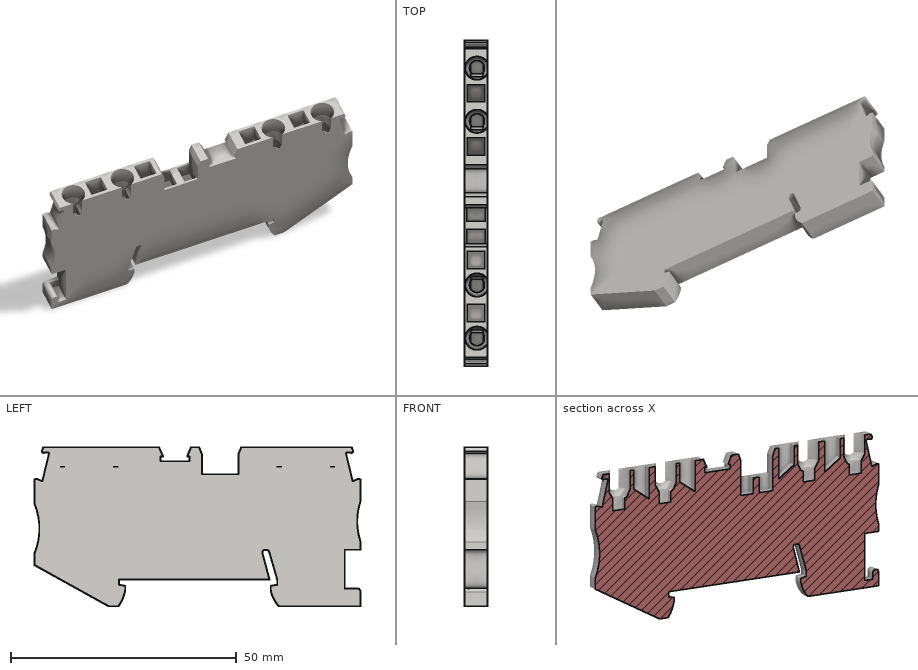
import cadquery as cq
import math

THICKNESS = 5.1
LENGTH = 72.2
HEIGHT = 35.2
HALF_LENGTH = LENGTH / 2

BACK_WAIST_TOP, BACK_WAIST_BOTTOM, BACK_WAIST_DEPTH = 22.7, 11.7, 1.1
FRONT_WAIST_TOP, FRONT_WAIST_BOTTOM, FRONT_WAIST_DEPTH = 23.25, 14.3, 0.7

NOTCH_RADIUS = 0.2
LIP_TOP_Y = 34.15
LIP_TIP = (34.5, 34.3)
LIP_BARB = (34.15, 33.85)
NOTCH_OUTER = (33.9, 34.0)
NOTCH_UPPER = (32.85, 34.0)
NOTCH_LOWER = (34.4, 27.7)
SHOULDER_PEAK = (35.6, 28.2)
SHOULDER_Z = 28.1

RAIL_SEAT_Z = 5.9
FOOT_ROOT_Y, FOOT_ROOT_Z = 17.3, 4.8
FOOT_TIP_Y, FOOT_TIP_Z, FOOT_TIP_RADIUS = 15.95, 4.55, 0.2
FOOT_CURVE_START_Z = 3.6
FOOT_CURVE_MID_Z = 1.65
FOOT_CURVE_MID_Y, FOOT_SOLE_Y = 16.5, 17.5
HOOK_TIP_Y, HOOK_ROOT_Y = -16.2, -17.6
HOOK_CURVE_MID_Y, HOOK_SOLE_Y = -16.8, -18.0
SLIT_TOP_Y, SLIT_TOP_Z = (-15.75, -14.2), 12.4
SLIT_MOUTH_Y = -15.95
SLIT_RADIUS = 0.5
SLOPE_FOOT_Y, SLOPE_TOP_Z = 19.7, 9.1

WINDOW_TOP, WINDOW_BOTTOM, WINDOW_Y = 12.5, 4.0, -32.6
LIP_RADIUS = 0.8
POCKET_WALL, POCKET_BEHIND_LIP_DEPTH = 0.95, 2.2

SLOT_START, SLOT_END, SLOT_FLOOR = -1.0, -9.0, 29.25
SLOT_CHAMFER_Y, SLOT_CHAMFER_Z = 0.65, 1.6
SLOT_POCKET_WIDTH, SLOT_POCKET_DEPTH = 4.2, 3.6
SLOT_RIB_START, SLOT_RIB_END = -4.05, -5.8

GROOVE_START, GROOVE_END, GROOVE_FLOOR = 8.15, 1.8, 32.1
GROOVE_BARB_Z = 33.15
GROOVE_START_BARB, GROOVE_END_BARB = 7.6, 2.3
GROOVE_START_TOP, GROOVE_END_TOP = 8.5, 1.45

STATIONS_PER_HALF = 2
STATION_PITCH = 11.8
TOOL_POCKET_Y = 12.55
TOOL_POCKET_SIZE = 3.8
TOOL_POCKET_DEPTH = 5.8
TOOL_POCKET_FLOOR_ANGLE = 35
FUNNEL_Y = 18.1
FUNNEL_X = 0.2
FUNNEL_RADIUS = 2.6
FUNNEL_STRAIGHT_DEPTH = 4.3
FUNNEL_ANGLE = 60
WIRE_RADIUS = 1.65
WIRE_WIDTH = 2.8
WIRE_FLOOR_DEPTH = 8.7
RAMP_BREAK_Y = 1.9
RAMP_END_Y = 1.2
RAMP_STEEP_ANGLE = 65
RAMP_SHALLOW_ANGLE = 30


def slope(angle):
    """Drop per unit of run for a face at this angle (degrees) from horizontal."""
    return math.tan(math.radians(angle))


def side_profile():
    """Closed outline in the YZ plane, running from the top +Y corner towards -Y."""
    back_waist_mid = (BACK_WAIST_TOP + BACK_WAIST_BOTTOM) / 2
    front_waist_mid = (FRONT_WAIST_TOP + FRONT_WAIST_BOTTOM) / 2
    chamfer_z = HEIGHT - SLOT_CHAMFER_Z
    back_notch = [
        (HALF_LENGTH, SHOULDER_Z),
        SHOULDER_PEAK,
        NOTCH_LOWER,
        NOTCH_UPPER,
        NOTCH_OUTER,
        LIP_BARB,
        LIP_TIP,
        (LIP_TOP_Y, HEIGHT),
    ]
    front_notch = [(-y, z) for y, z in reversed(back_notch)]
    groove = [
        (GROOVE_START_TOP, HEIGHT),
        (GROOVE_START_BARB, GROOVE_BARB_Z),
        (GROOVE_START, GROOVE_BARB_Z),
        (GROOVE_START, GROOVE_FLOOR),
        (GROOVE_END, GROOVE_FLOOR),
        (GROOVE_END, GROOVE_BARB_Z),
        (GROOVE_END_BARB, GROOVE_BARB_Z),
        (GROOVE_END_TOP, HEIGHT),
    ]
    bridge_slot = [
        (SLOT_START + SLOT_CHAMFER_Y, HEIGHT),
        (SLOT_START, chamfer_z),
        (SLOT_START, SLOT_FLOOR),
        (SLOT_END, SLOT_FLOOR),
        (SLOT_END, chamfer_z),
        (SLOT_END - SLOT_CHAMFER_Y, HEIGHT),
    ]
    window = [
        (-HALF_LENGTH, WINDOW_TOP),
        (WINDOW_Y, WINDOW_TOP),
        (WINDOW_Y, WINDOW_BOTTOM),
        (-HALF_LENGTH, WINDOW_BOTTOM),
    ]
    hook_to_foot = [
        (HOOK_TIP_Y, FOOT_TIP_Z),
        (HOOK_ROOT_Y, FOOT_ROOT_Z),
        (HOOK_ROOT_Y, RAIL_SEAT_Z),
        (SLIT_TOP_Y[0], SLIT_TOP_Z),
        (SLIT_TOP_Y[1], SLIT_TOP_Z),
        (SLIT_MOUTH_Y, RAIL_SEAT_Z),
        (FOOT_ROOT_Y, RAIL_SEAT_Z),
        (FOOT_ROOT_Y, FOOT_ROOT_Z),
        (FOOT_TIP_Y, FOOT_TIP_Z),
        (FOOT_TIP_Y, FOOT_CURVE_START_Z),
    ]
    return (
        cq.Workplane("YZ")
        .polyline([(LIP_TOP_Y, HEIGHT)] + groove + bridge_slot + front_notch)
        .lineTo(-HALF_LENGTH, FRONT_WAIST_TOP)
        .threePointArc(
            (-HALF_LENGTH + FRONT_WAIST_DEPTH, front_waist_mid),
            (-HALF_LENGTH, FRONT_WAIST_BOTTOM),
        )
        .polyline(window, includeCurrent=True)
        .lineTo(-HALF_LENGTH, 0)
        .lineTo(HOOK_SOLE_Y, 0)
        .threePointArc((HOOK_CURVE_MID_Y, FOOT_CURVE_MID_Z), (HOOK_TIP_Y, FOOT_CURVE_START_Z))
        .polyline(hook_to_foot, includeCurrent=True)
        .threePointArc((FOOT_CURVE_MID_Y, FOOT_CURVE_MID_Z), (FOOT_SOLE_Y, 0))
        .lineTo(SLOPE_FOOT_Y, 0)
        .lineTo(HALF_LENGTH, SLOPE_TOP_Z)
        .lineTo(HALF_LENGTH, BACK_WAIST_BOTTOM)
        .threePointArc((HALF_LENGTH - BACK_WAIST_DEPTH, back_waist_mid), (HALF_LENGTH, BACK_WAIST_TOP))
        .polyline(back_notch, includeCurrent=True)
        .close()
    )


def round_corner(solid, y, z, radius):
    """Fillet the edge along X that passes through (y, z)."""
    reach = 0.1
    near_corner = cq.selectors.BoxSelector(
        (-THICKNESS, y - reach, z - reach),
        (THICKNESS, y + reach, z + reach),
    )
    return solid.edges("|X").edges(near_corner).fillet(radius)


def tool_pocket():
    """Square pocket going down from the origin, its floor rising towards +Y."""
    half = TOOL_POCKET_SIZE / 2
    rise = half * slope(TOOL_POCKET_FLOOR_ANGLE)
    outline = [
        (-half, 0),
        (half, 0),
        (half, rise - TOOL_POCKET_DEPTH),
        (-half, -rise - TOOL_POCKET_DEPTH),
    ]
    return cq.Workplane("YZ").polyline(outline).close().extrude(half, both=True)


def wire_funnel():
    """Round entry, cone and flat-sided wire hole on the Z axis, with a ramp on the -Y side."""
    cone_top = -FUNNEL_STRAIGHT_DEPTH
    entry = cq.Workplane("XY").circle(FUNNEL_RADIUS).extrude(cone_top)
    cone_height = (FUNNEL_RADIUS - WIRE_RADIUS) * slope(FUNNEL_ANGLE)
    cone = cq.Solid.makeCone(
        FUNNEL_RADIUS,
        WIRE_RADIUS,
        cone_height,
        pnt=cq.Vector(0, 0, cone_top),
        dir=cq.Vector(0, 0, -1),
    )

    flats = (
        cq.Workplane("XY")
        .center(0, (WIRE_RADIUS - RAMP_END_Y) / 2)
        .rect(WIRE_WIDTH, WIRE_RADIUS + RAMP_END_Y)
        .extrude(-WIRE_FLOOR_DEPTH)
    )
    wire_hole = cq.Workplane("XY").circle(WIRE_RADIUS).extrude(-WIRE_FLOOR_DEPTH).intersect(flats)

    break_z = cone_top - (FUNNEL_RADIUS - RAMP_BREAK_Y) * slope(RAMP_STEEP_ANGLE)
    end_z = break_z - (RAMP_BREAK_Y - RAMP_END_Y) * slope(RAMP_SHALLOW_ANGLE)
    ramp_outline = [
        (0, cone_top),
        (-FUNNEL_RADIUS, cone_top),
        (-RAMP_BREAK_Y, break_z),
        (-RAMP_END_Y, end_z),
        (0, end_z),
    ]
    ramp = cq.Workplane("YZ").polyline(ramp_outline).close().extrude(WIRE_WIDTH / 2, both=True)
    ramp = ramp.intersect(cq.Workplane("XY").circle(FUNNEL_RADIUS).extrude(end_z))
    return entry.union(cone).union(wire_hole).union(ramp)


def slot_pocket(start, end):
    """Flat-bottomed pocket in the bridge slot floor, from Y = start down to Y = end."""
    return (
        cq.Workplane("XY", origin=(0, (start + end) / 2, SLOT_FLOOR))
        .rect(SLOT_POCKET_WIDTH, start - end)
        .extrude(-SLOT_POCKET_DEPTH)
    )


def window_pocket():
    """Pocket behind the end lip, open at +X and walled at -X, that rounds the inner side of the lip."""
    floor_z = WINDOW_BOTTOM - POCKET_BEHIND_LIP_DEPTH
    crest_y = -HALF_LENGTH + LIP_RADIUS
    arc_mid = (
        crest_y + LIP_RADIUS * math.sqrt(0.5),
        WINDOW_BOTTOM - LIP_RADIUS + LIP_RADIUS * math.sqrt(0.5),
    )
    return (
        cq.Workplane("YZ", origin=(POCKET_WALL - THICKNESS / 2, 0, 0))
        .moveTo(WINDOW_Y, floor_z)
        .lineTo(WINDOW_Y, WINDOW_BOTTOM)
        .lineTo(crest_y, WINDOW_BOTTOM)
        .threePointArc(arc_mid, (crest_y + LIP_RADIUS, WINDOW_BOTTOM - LIP_RADIUS))
        .lineTo(crest_y + LIP_RADIUS, floor_z)
        .close()
        .extrude(THICKNESS - POCKET_WALL)
    )


result = side_profile().extrude(THICKNESS / 2, both=True)
for side in (1, -1):
    result = round_corner(result, side * NOTCH_UPPER[0], NOTCH_UPPER[1], NOTCH_RADIUS)
for y in (HOOK_TIP_Y, FOOT_TIP_Y):
    result = round_corner(result, y, FOOT_TIP_Z, FOOT_TIP_RADIUS)
for y in SLIT_TOP_Y:
    result = round_corner(result, y, SLIT_TOP_Z, SLIT_RADIUS)

result = round_corner(result, -HALF_LENGTH, WINDOW_BOTTOM, LIP_RADIUS)
result = result.cut(window_pocket())

for station in range(STATIONS_PER_HALF):
    shift = station * STATION_PITCH
    pocket = tool_pocket().translate((0, TOOL_POCKET_Y + shift, HEIGHT))
    funnel = wire_funnel().translate((FUNNEL_X, FUNNEL_Y + shift, HEIGHT))
    for cutter in (pocket, funnel):
        result = result.cut(cutter).cut(cutter.mirror("XZ"))

for start, end in ((SLOT_START, SLOT_RIB_START), (SLOT_RIB_END, SLOT_END)):
    result = result.cut(slot_pocket(start, end))